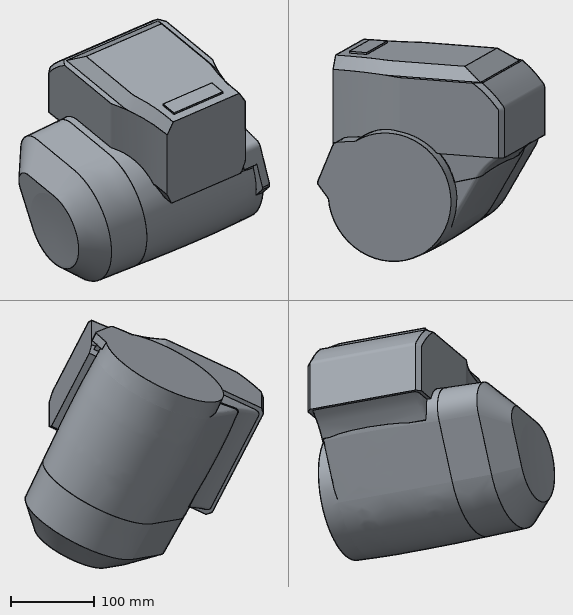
import cadquery as cq
import math


TOTAL_LENGTH = 253.0
FLANGE_LENGTH = 18.7
REAR_FILLET = 4.5
CAP_START = 172.5
NOSE_START = 224.0
DRUM_END_RADIUS = 78.7
DRUM_CROWN_RADIUS = 80.5
CAP_FRONT_RADIUS = 77.2
NOSE_RADIUS = 50.0
DRUM_LOBE_RADIUS = 35.5
CAP_LOBE_RADIUS = 34.2
NOSE_LOBE_RADIUS = 19.7
LOBE_ANGLE = 150
DISH_RADIUS = 47.0
DISH_DEPTH = 2.0

LATCH_TOP_AT_AXIS = 70.8
LATCH_SHOULDER = (71.0, 62.2)
LATCH_SHOULDER_RADIUS = 8.9
LATCH_TIP_X = 91.8
LATCH_TIP_TOP = 12.6
LATCH_TIP_BOTTOM = 9.5
LATCH_FOOT = (77.2, -8.9)
LATCH_THICKNESS = 10.5
LATCH_BASE_LENGTH = 29.3
LATCH_BASE_UNDERSIDE = 40.2
LATCH_BASE_INNER_X = 72.9

HOUSING_MID_Y = -87.8
HOUSING_LEFT = -140.7
HOUSING_RIGHT = 83.2
HOUSING_BOTTOM = 55.5
SHOULDER_Z = 145.0
HOOD_TOP = 160.7
HOUSING_HALF_WIDTH = 75.5
NECK_HALF_WIDTH = 58.0
WAIST_START_X = -7.5
WAIST_END_X = 78.2
WAIST_BLEND_RADIUS = 8.9
BEVEL_TOP_X = -112.0
BEVEL_BOTTOM_Z = 116.1
BEVEL_BLEND_RADIUS = 8.9
BEVEL_MID = (-127.0, 132.0)
EDGE_CHAMFER = 5.5
HOOD_BASE_LEFT = -109.0
HOOD_TOP_LEFT = -84.8
HOOD_BASE_HALF_WIDTH = 67.8
HOOD_TOP_HALF_WIDTH = 56.2
HOOD_TOP_NECK_HALF_WIDTH = 49.0
HOOD_TOP_WAIST_START_X = 12.1
HOOD_WAIST_BLEND_RADIUS = 53.1
HOOD_TOP_WAIST_END_X = 68.8
SKIRT_DEPTH = 15.2
SKIRT_INSET = 6.3
CHIN_HALF_WIDTH = 70.3
CHIN_START_X = -136.5
CHIN_END = (-108.8, 29.0)
CHIN_SAG = 1.5
CHIN_FILLET = 4.5
LABEL_LEFT = 49.3
LABEL_RIGHT = 71.5
LABEL_LENGTH = 72.4
LABEL_MID_Y = -91.0
LABEL_HEIGHT = 2.3


def polar(radius, degrees):
    angle = math.radians(degrees)
    return (radius * math.cos(angle), radius * math.sin(angle))


def section_plane(distance):
    """XZ plane facing -Y, placed the given distance in front of the drum's rear face."""
    return cq.Workplane("XZ", origin=(0, -distance, 0))


def teardrop(work, main_radius, lobe_radius):
    """Outline of a large and a small circle joined by a flat top and a slanted tangent."""
    lobe_offset = (main_radius - lobe_radius) / math.sin(math.radians(LOBE_ANGLE))
    lobe_x, lobe_z = polar(lobe_offset, LOBE_ANGLE)
    slant_angle = 2 * LOBE_ANGLE - 90

    def on_lobe(degrees):
        dx, dz = polar(lobe_radius, degrees)
        return (lobe_x + dx, lobe_z + dz)

    return (
        work.moveTo(0, main_radius)
        .lineTo(*on_lobe(90))
        .threePointArc(on_lobe(LOBE_ANGLE), on_lobe(slant_angle))
        .lineTo(*polar(main_radius, slant_angle))
        .threePointArc(polar(main_radius, LOBE_ANGLE - 180), (0, main_radius))
        .close()
    )


def teardrop_loft(sections, ruled):
    """Loft through (distance, main radius, lobe radius) sections."""
    start = sections[0][0]
    work = section_plane(start)
    previous = start
    for distance, main_radius, lobe_radius in sections:
        work = work.workplane(offset=distance - previous)
        work = teardrop(work, main_radius, lobe_radius)
        previous = distance
    return work.loft(ruled=ruled)


def crown_radius(distance):
    """Radius of the drum, which bulges parabolically at mid length."""
    position = 2 * distance / CAP_START - 1
    return DRUM_CROWN_RADIUS - (DRUM_CROWN_RADIUS - DRUM_END_RADIUS) * position**2


def make_flange():
    """Round rear end, reaching into the body past its rear fillet."""
    length = FLANGE_LENGTH + REAR_FILLET
    return (
        section_plane(0).circle(DRUM_END_RADIUS)
        .workplane(offset=length).circle(crown_radius(length))
        .loft(ruled=True)
    )


def latch_plate(points, thickness):
    """Plate of the latch, starting at the drum's rear face, with a rounded shoulder."""
    plate = section_plane(0).polyline(points).close().extrude(thickness)
    shoulder = cq.NearestToPointSelector((LATCH_SHOULDER[0], -thickness / 2, LATCH_SHOULDER[1]))
    return plate.edges("|Y").edges(shoulder).fillet(LATCH_SHOULDER_RADIUS)


def make_latch():
    """Hooked tongue at the rear with a longer base that ends above the tip."""
    shoulder_x, shoulder_z = LATCH_SHOULDER
    tip = (LATCH_TIP_X, LATCH_TIP_TOP)
    drop_share = (shoulder_z - LATCH_BASE_UNDERSIDE) / (shoulder_z - LATCH_TIP_TOP)
    base_edge_x = shoulder_x + drop_share * (LATCH_TIP_X - shoulder_x)
    tongue = latch_plate(
        [(0, 0), (0, LATCH_TOP_AT_AXIS), LATCH_SHOULDER, tip,
         (LATCH_TIP_X, LATCH_TIP_BOTTOM), LATCH_FOOT],
        LATCH_THICKNESS,
    )
    base = latch_plate(
        [(0, 0), (0, LATCH_TOP_AT_AXIS), LATCH_SHOULDER, (base_edge_x, LATCH_BASE_UNDERSIDE),
         (LATCH_BASE_INNER_X, LATCH_BASE_UNDERSIDE), (LATCH_BASE_INNER_X, 0)],
        LATCH_BASE_LENGTH,
    )
    return tongue.union(base)


def make_drum():
    middle = CAP_START / 2
    stations = [FLANGE_LENGTH, middle, CAP_START]
    body = teardrop_loft([(d, crown_radius(d), DRUM_LOBE_RADIUS) for d in stations], ruled=False)
    body = body.faces(">Y").edges().fillet(REAR_FILLET)
    return body.union(make_flange()).union(make_latch())


def make_cap():
    barrel = teardrop_loft(
        [(CAP_START, DRUM_END_RADIUS, DRUM_LOBE_RADIUS), (NOSE_START, CAP_FRONT_RADIUS, CAP_LOBE_RADIUS)],
        ruled=True,
    )
    nose = teardrop_loft(
        [(NOSE_START, CAP_FRONT_RADIUS, CAP_LOBE_RADIUS), (TOTAL_LENGTH, NOSE_RADIUS, NOSE_LOBE_RADIUS)],
        ruled=True,
    )
    sphere_radius = (DISH_RADIUS**2 + DISH_DEPTH**2) / (2 * DISH_DEPTH)
    dish = cq.Workplane("XY").sphere(sphere_radius).translate(
        (0, -TOTAL_LENGTH + DISH_DEPTH - sphere_radius, 0)
    )
    return barrel.union(nose).cut(dish)


def waist_radius(run, drop):
    """Radius of a side arc that ends parallel to X after the given run and inward drop."""
    return (run**2 + drop**2) / (2 * drop)


def waisted_outline(work, left, half_width, waist_start, waist_end, neck_half_width):
    """Plan outline whose sides curve inward to a narrower right end."""
    run = waist_end - waist_start
    drop = half_width - neck_half_width
    radius = waist_radius(run, drop)
    half_sweep = math.atan2(drop, run)
    mid_x = waist_end - radius * math.sin(half_sweep)
    mid_y = neck_half_width + radius * (1 - math.cos(half_sweep))
    return (
        work.moveTo(left, -half_width)
        .lineTo(waist_start, -half_width)
        .threePointArc((mid_x, -mid_y), (waist_end, -neck_half_width))
        .lineTo(HOUSING_RIGHT, -neck_half_width)
        .lineTo(HOUSING_RIGHT, neck_half_width)
        .lineTo(waist_end, neck_half_width)
        .threePointArc((mid_x, mid_y), (waist_start, half_width))
        .lineTo(left, half_width)
        .close()
    )


def plan_at(height):
    return cq.Workplane("XY", origin=(0, HOUSING_MID_Y, height))


def box_plan():
    """The housing box seen in plan, with blended waists."""
    plan = waisted_outline(
        plan_at(HOUSING_BOTTOM), HOUSING_LEFT, HOUSING_HALF_WIDTH,
        WAIST_START_X, WAIST_END_X, NECK_HALF_WIDTH,
    ).extrude(SHOULDER_Z - HOUSING_BOTTOM)
    for side_y in (-HOUSING_HALF_WIDTH, HOUSING_HALF_WIDTH):
        corner = (WAIST_START_X, HOUSING_MID_Y + side_y, (HOUSING_BOTTOM + SHOULDER_Z) / 2)
        plan = plan.edges(cq.NearestToPointSelector(corner)).fillet(WAIST_BLEND_RADIUS)
    return plan


def box_side():
    """The housing box seen along Y, with a rounded bevel and chamfered left edges."""
    side = (
        cq.Workplane("XZ", origin=(0, HOUSING_MID_Y, 0))
        .moveTo(HOUSING_LEFT, HOUSING_BOTTOM)
        .lineTo(HOUSING_LEFT, BEVEL_BOTTOM_Z)
        .threePointArc(BEVEL_MID, (BEVEL_TOP_X, SHOULDER_Z))
        .lineTo(HOUSING_RIGHT, SHOULDER_Z)
        .lineTo(HOUSING_RIGHT, HOUSING_BOTTOM)
        .close().extrude(HOUSING_HALF_WIDTH, both=True)
    )
    side = side.faces("<X").edges(">Z").fillet(BEVEL_BLEND_RADIUS)
    left_and_bevel = side.faces("<X or (not (|X or |Y or |Z))")
    return left_and_bevel.edges("not |Y").chamfer(EDGE_CHAMFER)


def make_box():
    return box_plan().intersect(box_side())


def waist_x_at(half_width):
    """X where the curved side of the housing reaches the given half width."""
    radius = waist_radius(WAIST_END_X - WAIST_START_X, HOUSING_HALF_WIDTH - NECK_HALF_WIDTH)
    rise = half_width - NECK_HALF_WIDTH
    return WAIST_END_X - math.sqrt(radius**2 - (radius - rise) ** 2)


def make_hood():
    """Tapered top of the housing; its curved sides start on the box's waist."""
    base = waisted_outline(
        plan_at(SHOULDER_Z), HOOD_BASE_LEFT, HOOD_BASE_HALF_WIDTH,
        waist_x_at(HOOD_BASE_HALF_WIDTH), WAIST_END_X, NECK_HALF_WIDTH,
    )
    hood = waisted_outline(
        base.workplane(offset=HOOD_TOP - SHOULDER_Z), HOOD_TOP_LEFT, HOOD_TOP_HALF_WIDTH,
        HOOD_TOP_WAIST_START_X, HOOD_TOP_WAIST_END_X, HOOD_TOP_NECK_HALF_WIDTH,
    ).loft(ruled=True)
    for side_y in (-HOOD_BASE_HALF_WIDTH, HOOD_BASE_HALF_WIDTH):
        corner = (HOOD_TOP_WAIST_START_X, HOUSING_MID_Y + side_y, (SHOULDER_Z + HOOD_TOP) / 2)
        hood = hood.edges("not (#Z or |Z)").edges(cq.NearestToPointSelector(corner))
        hood = hood.fillet(HOOD_WAIST_BLEND_RADIUS)
    return hood


def make_label():
    """Flat raised pad on top of the hood."""
    width = LABEL_RIGHT - LABEL_LEFT
    return (
        cq.Workplane("XY", origin=(LABEL_LEFT + width / 2, LABEL_MID_Y, HOOD_TOP))
        .rect(width, LABEL_LENGTH).extrude(LABEL_HEIGHT)
    )


def make_skirt():
    """Underside of the right end, bevelled along both sides."""
    narrow = NECK_HALF_WIDTH - SKIRT_INSET
    skirt_bottom = HOUSING_BOTTOM - SKIRT_DEPTH
    return (
        cq.Workplane("YZ", origin=(0, HOUSING_MID_Y, 0))
        .polyline([(-NECK_HALF_WIDTH, HOUSING_BOTTOM), (NECK_HALF_WIDTH, HOUSING_BOTTOM),
                   (narrow, skirt_bottom), (-narrow, skirt_bottom)])
        .close().extrude(HOUSING_RIGHT)
    )


def make_chin():
    """Hollow-curved filler between the housing's left underside and the drum."""
    end_x, end_z = CHIN_END
    mid = ((CHIN_START_X + end_x) / 2 + CHIN_SAG, (HOUSING_BOTTOM + end_z) / 2 + CHIN_SAG)
    chin = (
        cq.Workplane("XZ", origin=(0, HOUSING_MID_Y, 0))
        .moveTo(CHIN_START_X, HOUSING_BOTTOM)
        .threePointArc(mid, CHIN_END)
        .lineTo(0, 0).lineTo(0, HOUSING_BOTTOM)
        .close().extrude(CHIN_HALF_WIDTH, both=True)
    )
    hollow = cq.NearestToPointSelector((mid[0], HOUSING_MID_Y, mid[1]))
    return chin.faces(hollow).edges("not |Y").fillet(CHIN_FILLET)


def make_housing(drum):
    housing = make_box().union(make_hood()).union(make_label())
    housing = housing.union(make_skirt()).union(make_chin())
    return housing.cut(drum)


drum = make_drum()
cap = make_cap()
housing = make_housing(drum)

result = cq.Compound.makeCompound([housing.val(), drum.val(), cap.val()])